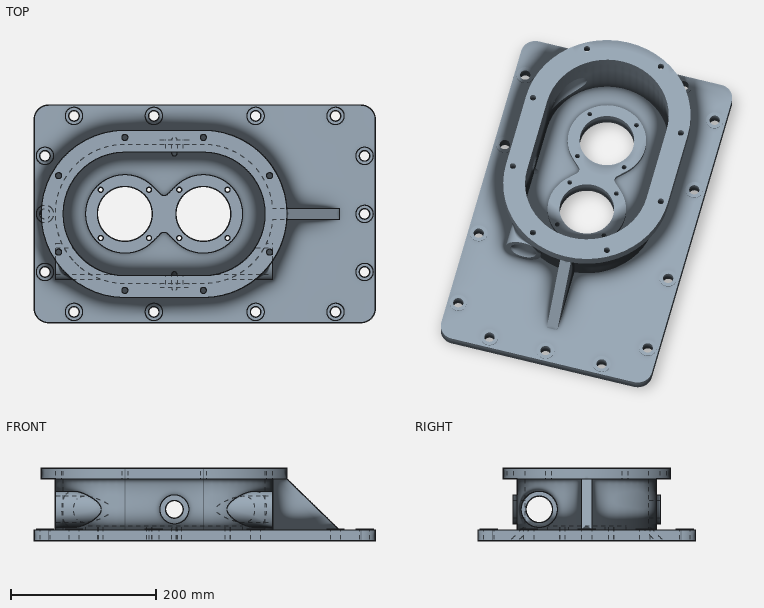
import cadquery as cq
import math

plate_length = 470
plate_width = 300.0
plate_thickness = 15.0
corner_radius = 20.0

total_height = 100.0
bore_spacing = 108
housing_x = -56.0
wall_radius = 96.0
cavity_radius = 85.0
flange_radius = 115.0
flange_thickness = 15.0
flange_bottom = total_height - flange_thickness
bore_centres = [housing_x - bore_spacing / 2, housing_x + bore_spacing / 2]

flange_hole_diameter = 8.5
flange_hole_circle_radius = 105.5

seat_height = 5.0
seat_radius = bore_spacing / 2
seat_waist_radius = 7.0
bore_diameter = 75
seat_hole_diameter = 6.5
seat_hole_circle_radius = 47

pad_diameter = 24.0
pad_height = 1.0
mount_hole_diameter = 14
pad_edge_x = 220.0
pad_edge_y = 135.0
side_pad_ys = [-80, 0, 80]
long_pad_xs = [-180.0, -70.0, 70.0, 180.0]

port_z = 43.2
tube_diameter = 50.0
tube_bore_diameter = 36.0
tube_y = -65.5
tube_length = 298.5
boss_diameter = 40.0
boss_bore_diameter = 24.0
boss_x = -42.0
boss_span = 203.0

drain_diameter = 8.0
drain_angle = 45

gusset_thickness = 15.0
gusset_toe_x = 185.0


def oval(radius, bottom, top):
    """Vertical oval prism around both bore centres."""
    return (
        cq.Workplane("XY", origin=(housing_x, 0, bottom))
        .slot2D(bore_spacing + 2 * radius, 2 * radius)
        .extrude(top - bottom)
    )


def upright_cylinders(points, diameter, bottom, top):
    """Equal vertical cylinders at the given (x, y) points."""
    return (
        cq.Workplane("XY", origin=(0, 0, bottom))
        .pushPoints(points)
        .circle(diameter / 2)
        .extrude(top - bottom)
    )


def tube_cylinder(diameter):
    """Cylinder along X on the axis of the tube ports."""
    return (
        cq.Workplane("YZ", origin=(housing_x, tube_y, port_z))
        .circle(diameter / 2)
        .extrude(tube_length / 2, both=True)
    )


def boss_cylinder(diameter):
    """Cylinder along Y on the axis of the side bosses."""
    return (
        cq.Workplane("XZ", origin=(boss_x, 0, port_z))
        .circle(diameter / 2)
        .extrude(boss_span / 2, both=True)
    )


def gusset():
    """Sloping rib from the flange's underside down to the plate."""
    root_x = bore_centres[1]
    flange_edge_x = root_x + flange_radius
    return (
        cq.Workplane("XZ")
        .moveTo(root_x, plate_thickness)
        .lineTo(gusset_toe_x, plate_thickness)
        .lineTo(flange_edge_x, flange_bottom)
        .lineTo(root_x, flange_bottom)
        .close()
        .extrude(gusset_thickness / 2, both=True)
    )


def seat():
    """Figure-eight pad: two round ends joined by a V-shaped waist on each side."""
    tangent_offset = seat_radius * math.sqrt(0.5)
    waist_y = seat_radius * math.sqrt(2) - bore_spacing / 2
    left_x, right_x = bore_centres
    outline = (
        cq.Workplane("XY", origin=(0, 0, plate_thickness))
        .moveTo(left_x + tangent_offset, tangent_offset)
        .lineTo(housing_x, waist_y)
        .lineTo(right_x - tangent_offset, tangent_offset)
        .threePointArc((right_x + seat_radius, 0), (right_x - tangent_offset, -tangent_offset))
        .lineTo(housing_x, -waist_y)
        .lineTo(left_x + tangent_offset, -tangent_offset)
        .threePointArc((left_x - seat_radius, 0), (left_x + tangent_offset, tangent_offset))
        .close()
    )
    waist_corners = cq.selectors.BoxSelector(
        (housing_x - seat_waist_radius, -seat_radius, 0),
        (housing_x + seat_waist_radius, seat_radius, total_height),
    )
    return outline.extrude(seat_height).edges("|Z").edges(waist_corners).fillet(seat_waist_radius)


def drain(side):
    """Cylinder running down and outward from the cavity's bottom edge, on the +Y or -Y side."""
    slope = math.radians(drain_angle)
    direction = cq.Vector(0, side * math.cos(slope), -math.sin(slope))
    corner = cq.Vector(boss_x, side * cavity_radius, plate_thickness)
    overrun = 2 * drain_diameter
    start = corner - direction * overrun
    length = plate_thickness / math.sin(slope) + 2 * overrun
    return cq.Workplane(cq.Solid.makeCylinder(drain_diameter / 2, length, start, direction))


def flange_hole_points():
    """Four holes around each round end of the flange, 60 degrees apart."""
    points = []
    for x, angles in zip(bore_centres, [(90, 150, 210, 270), (-90, -30, 30, 90)]):
        for angle in angles:
            turn = math.radians(angle)
            points.append((
                x + flange_hole_circle_radius * math.cos(turn),
                flange_hole_circle_radius * math.sin(turn),
            ))
    return points


def seat_hole_points():
    """Four screw holes on the diagonals of each bore."""
    offset = seat_hole_circle_radius * math.sqrt(0.5)
    return [
        (x + sx * offset, sy * offset)
        for x in bore_centres
        for sx in (-1, 1)
        for sy in (-1, 1)
    ]


pad_points = [(x, side * pad_edge_y) for x in long_pad_xs for side in (-1, 1)]
pad_points += [(side * pad_edge_x, y) for y in side_pad_ys for side in (-1, 1)]
pad_top = plate_thickness + pad_height

body = (
    cq.Workplane("XY")
    .rect(plate_length, plate_width)
    .extrude(plate_thickness)
    .edges("|Z")
    .fillet(corner_radius)
)
body = body.union(upright_cylinders(pad_points, pad_diameter, 0, pad_top))
body = body.union(oval(wall_radius, 0, total_height))
body = body.union(oval(flange_radius, flange_bottom, total_height))
body = body.union(gusset())
body = body.union(tube_cylinder(tube_diameter))
body = body.union(boss_cylinder(boss_diameter))

body = body.cut(oval(cavity_radius, plate_thickness, total_height))
body = body.union(seat())

body = body.cut(tube_cylinder(tube_bore_diameter))
body = body.cut(boss_cylinder(boss_bore_diameter))
body = body.cut(upright_cylinders([(x, 0) for x in bore_centres], bore_diameter, 0, total_height))
body = body.cut(upright_cylinders(seat_hole_points(), seat_hole_diameter, 0, total_height))
body = body.cut(upright_cylinders(pad_points, mount_hole_diameter, 0, pad_top))
body = body.cut(upright_cylinders(flange_hole_points(), flange_hole_diameter, flange_bottom, total_height))
for side in (-1, 1):
    body = body.cut(drain(side))

result = body